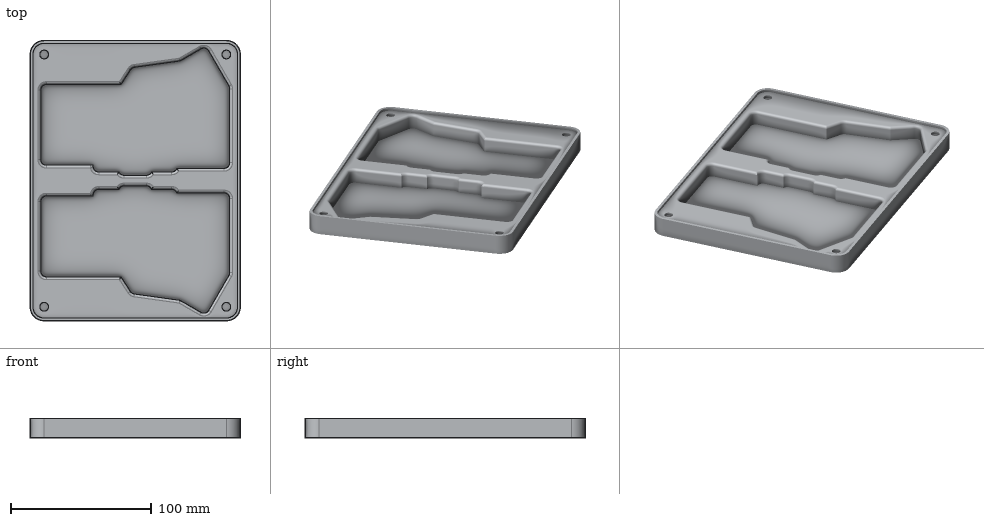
import cadquery as cq
import math

LENGTH = 200.0
WIDTH = 150.0
HEIGHT = 14.0
CORNER_RADIUS = 10.0

RIM_WIDTH = 2.0
RECESS_DEPTH = 2.0
DECK_HEIGHT = HEIGHT - RECESS_DEPTH

HOLE_DIAMETER = 6.2
HOLE_DEPTH = 2.0
HOLE_X = WIDTH / 2 - CORNER_RADIUS
HOLE_Y = LENGTH / 2 - CORNER_RADIUS

FLOOR_THICKNESS = 1.5
POCKET_DEPTH = DECK_HEIGHT - FLOOR_THICKNESS
POCKET_CORNER_RADIUS = 4.0
POCKET_EDGE_ROUND = 2.0
POCKET_HALF_WIDTH = 67.5
LEFT_OUTER_Y = 68.5
LEFT_INNER_Y = 11.0
RIGHT_INNER_Y = 8.8

NOTCH = (-10.2, LEFT_OUTER_Y)
KNEE = (-2.5, 80.5)
BEND = (32.0, 85.5)
PEAK_X = 50.5
PEAK_SLOPE = math.radians(30)
PEAK_Y = BEND[1] + (PEAK_X - BEND[0]) * math.tan(PEAK_SLOPE)
PEAK_FOOT_Y = PEAK_Y - (POCKET_HALF_WIDTH - PEAK_X) / math.tan(PEAK_SLOPE)

WIDE_BAY_HALF_WIDTH = 30.0
WIDE_BAY_INNER_Y = 6.2
NARROW_BAY_HALF_WIDTH = 12.0
NARROW_BAY_INNER_Y = 3.8
BAY_OUTER_Y = LEFT_OUTER_Y / 2

SELECTION_MARGIN = 0.2


def rounded_box(width, length, height, radius):
    return cq.Workplane("XY").rect(width, length).extrude(height).edges("|Z").fillet(radius)


def tray_body():
    body = rounded_box(WIDTH, LENGTH, HEIGHT, CORNER_RADIUS)
    recess = rounded_box(
        WIDTH - 2 * RIM_WIDTH,
        LENGTH - 2 * RIM_WIDTH,
        RECESS_DEPTH,
        CORNER_RADIUS - RIM_WIDTH,
    )
    return body.cut(recess.translate((0, 0, DECK_HEIGHT)))


def main_pocket():
    """Pocket without its bays: the notch and the bend stay sharp, other corners are rounded."""
    lower_left = (-POCKET_HALF_WIDTH, LEFT_INNER_Y)
    upper_left = (-POCKET_HALF_WIDTH, LEFT_OUTER_Y)
    peak = (PEAK_X, PEAK_Y)
    peak_foot = (POCKET_HALF_WIDTH, PEAK_FOOT_Y)
    lower_right = (POCKET_HALF_WIDTH, RIGHT_INNER_Y)
    step = [(0, RIGHT_INNER_Y), (0, LEFT_INNER_Y)]

    outline = [lower_left, upper_left, NOTCH, KNEE, BEND, peak, peak_foot, lower_right] + step
    block = cq.Workplane("XY").polyline(outline).close().extrude(POCKET_DEPTH)
    for x, y in [lower_left, upper_left, KNEE, peak, peak_foot, lower_right]:
        corner = cq.selectors.NearestToPointSelector((x, y, POCKET_DEPTH / 2))
        block = block.edges("|Z").edges(corner).fillet(POCKET_CORNER_RADIUS)
    return block


def bay(half_width, inner_y):
    box = rounded_box(2 * half_width, BAY_OUTER_Y - inner_y, POCKET_DEPTH, POCKET_CORNER_RADIUS)
    return box.translate((0, (BAY_OUTER_Y + inner_y) / 2, 0))


def pocket():
    cutter = (
        main_pocket()
        .union(bay(WIDE_BAY_HALF_WIDTH, WIDE_BAY_INNER_Y))
        .union(bay(NARROW_BAY_HALF_WIDTH, NARROW_BAY_INNER_Y))
    )
    return cutter.translate((0, 0, FLOOR_THICKNESS))


def pocket_rim_edges():
    """Selects the pocket edges at deck level, leaving out the border of the recess."""
    x_limit = POCKET_HALF_WIDTH + SELECTION_MARGIN
    y_limit = PEAK_Y + SELECTION_MARGIN
    return cq.selectors.BoxSelector(
        (-x_limit, -y_limit, DECK_HEIGHT - SELECTION_MARGIN),
        (x_limit, y_limit, DECK_HEIGHT + SELECTION_MARGIN),
        boundingbox=True,
    )


def corner_holes():
    return (
        cq.Workplane("XY", origin=(0, 0, DECK_HEIGHT - HOLE_DEPTH))
        .rect(2 * HOLE_X, 2 * HOLE_Y, forConstruction=True)
        .vertices()
        .circle(HOLE_DIAMETER / 2)
        .extrude(HOLE_DEPTH)
    )


upper_pocket = pocket()
tray = tray_body().cut(upper_pocket).cut(upper_pocket.mirror("XZ"))
tray = tray.edges(pocket_rim_edges()).fillet(POCKET_EDGE_ROUND)
result = tray.cut(corner_holes())